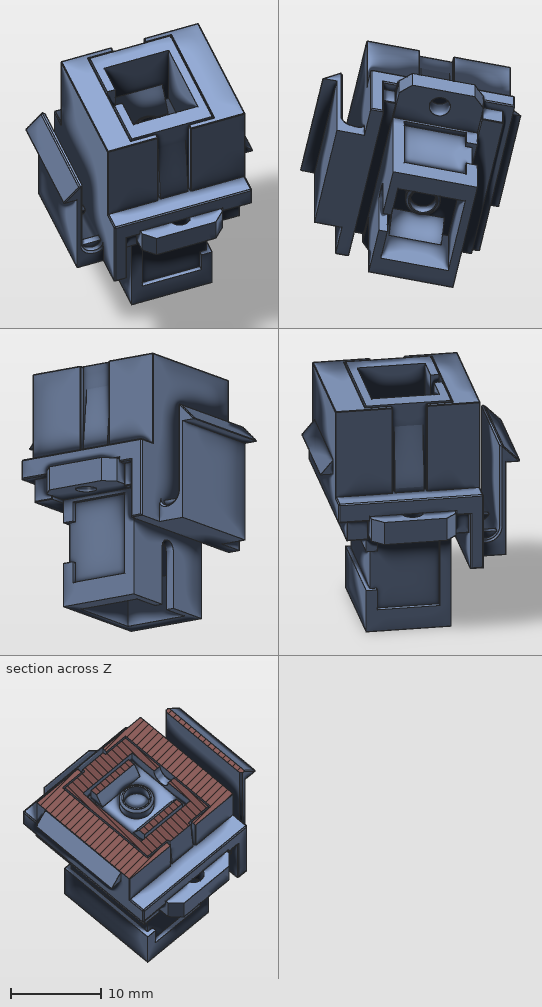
import cadquery as cq
import math

INSERT_X = 13.05
INSERT_Y = 9.55
INSERT_TOP = 27.13
MID_Z = INSERT_TOP / 2

FLANGE_X = 21.98
FLANGE_THICK = 2.65
EAR_CORNER = 1.25
EAR_HOLE_R = 1.17
EAR_HOLE_X = 8.93

PORT_X = 9.05
PORT_Y = 7.65
PORT_DEPTH = 7.87
KEYWAY_W = 2.17
KEYWAY_STRAIGHT = 6.5

SLEEVE_R = 1.93
SLEEVE_BORE_R = 1.47
SLEEVE_CHAMFER = 0.3
SLEEVE_H = 1.4

LATCH_INNER_X = 2.41
LATCH_OUTER_X = 4.23
LATCH_Y = 5.91
LATCH_H = 2.93

RECESS_DEPTH = 0.52
RECESS_Y = 7.03
RECESS_BOTTOM = 2.58
RECESS_TOP = 11.83
NOTCH_DEPTH = 0.5
NOTCH_BOTTOM = 4.96
NOTCH_TOP = 9.63

CATCH_Y = 3.25
CATCH_OUT = 0.68
CATCH_FLAT = 0.5
CATCH_TOP = 24.42

CLEARANCE = 0.14
OPENING_Y = INSERT_Y + 2 * CLEARANCE
HOUSING_TOP = 27.02
BLOCK_X = 14.62
BASE_X = 18.96
FRONT_Y = -7.92
REAR_Y = 8.38
BASE_TOP = 16.77
BASE_BOTTOM = 14.51
BASE_CHAMFER = 0.14
BLOCK_CHAMFER = 0.08

SKIRT_BOTTOM = 7.95
SKIRT_THICK = 1.47
SKIRT_REAR_Y = FRONT_Y + SKIRT_THICK
RAIL_X = 17.1
RAIL_BOTTOM = 11.95
REAR_RAIL_END_Y = 7.3
FLANGE_GAP = 0.2
SIDE_SLOT_Y = 3.85

ARM_X = 12.0
ARM_INNER_Y = -10.4
ARM_OUTER_Y = -11.05
ARM_TOP = 21.0
ARM_EDGE_CHAMFER = 0.22
HOOK_TIP_Y = -12.7
HOOK_CHAMFER = 0.1
HOOK_BOTTOM = 19.05
TROUGH_FLOOR = 9.77
TROUGH_WALL_R = 0.9
RIB_TOP = 10.53
RIB_W = 0.75
RIB_PITCH = 4.83

TAB_X = 11.83
TAB_TIP_Y = 9.82
TAB_BOTTOM = 19.0
TAB_TOP = 20.67


def box(x0, x1, y0, y1, z0, z1):
    """Box between two opposite corners."""
    return cq.Workplane("XY").box(x1 - x0, y1 - y0, z1 - z0, centered=False).translate((x0, y0, z0))


def centred_box(width, depth, z0, z1):
    """Box centred on the Z axis."""
    return box(-width / 2, width / 2, -depth / 2, depth / 2, z0, z1)


def side_profile(width):
    """Workplane for a Y-Z outline that is extruded by `width` from -X to +X."""
    return cq.Workplane("YZ").workplane(offset=-width / 2)


def flange():
    """Mounting plate with two drilled ears."""
    ears = centred_box(FLANGE_X, INSERT_Y, MID_Z - FLANGE_THICK / 2, MID_Z + FLANGE_THICK / 2)
    ears = ears.edges("|Z").chamfer(EAR_CORNER)
    holes = (
        cq.Workplane("XY")
        .pushPoints([(-EAR_HOLE_X, 0), (EAR_HOLE_X, 0)])
        .circle(EAR_HOLE_R)
        .extrude(INSERT_TOP)
    )
    return ears.cut(holes)


def port_cavity():
    """Upper port: rectangular pocket with a keyway through the front wall."""
    pocket = centred_box(PORT_X, PORT_Y, INSERT_TOP - PORT_DEPTH, INSERT_TOP)
    round_z = INSERT_TOP - KEYWAY_STRAIGHT
    keyway = box(-KEYWAY_W / 2, KEYWAY_W / 2, -INSERT_Y / 2, 0, round_z, INSERT_TOP)
    round_end = cq.Workplane("XZ").center(0, round_z).circle(KEYWAY_W / 2).extrude(INSERT_Y / 2)
    return pocket.union(keyway).union(round_end)


def port_fittings():
    """Upper port: ferrule sleeve and two sloped latches standing on the floor."""
    floor_z = INSERT_TOP - PORT_DEPTH
    floor = cq.Workplane("XY").workplane(offset=floor_z)
    sleeve = floor.circle(SLEEVE_R).extrude(SLEEVE_H).faces(">Z").chamfer(SLEEVE_CHAMFER)
    sleeve = sleeve.cut(floor.circle(SLEEVE_BORE_R).extrude(SLEEVE_H))
    latch = (
        cq.Workplane("XZ")
        .workplane(offset=-LATCH_Y / 2)
        .moveTo(LATCH_INNER_X, floor_z)
        .lineTo(LATCH_OUTER_X, floor_z)
        .lineTo(LATCH_OUTER_X, floor_z + LATCH_H)
        .close()
        .extrude(LATCH_Y)
    )
    return sleeve.union(latch).union(latch.mirror("YZ"))


def side_catch():
    """Ramp on the -X side, resting on the housing ledge."""
    wall_x = -INSERT_X / 2
    return (
        cq.Workplane("XZ")
        .workplane(offset=-CATCH_Y / 2)
        .moveTo(wall_x, BASE_TOP)
        .lineTo(wall_x - CATCH_OUT, BASE_TOP)
        .lineTo(wall_x - CATCH_OUT, BASE_TOP + CATCH_FLAT)
        .lineTo(wall_x, CATCH_TOP)
        .close()
        .extrude(CATCH_Y)
    )


def side_recess():
    """Recess in the lower -X side, open to the rear notch."""
    x0 = -INSERT_X / 2
    x1 = x0 + RECESS_DEPTH
    panel = box(x0, x1, -RECESS_Y / 2, RECESS_Y / 2, RECESS_BOTTOM, RECESS_TOP)
    return panel.union(box(x0, x1, 0, INSERT_Y / 2, NOTCH_BOTTOM, NOTCH_TOP))


def build_insert():
    body = centred_box(INSERT_X, INSERT_Y, 0, INSERT_TOP).union(flange())
    cavity = port_cavity()
    fittings = port_fittings()
    mid = (0, 0, MID_Z)
    body = body.cut(cavity).cut(cavity.mirror("XY", mid))
    body = body.union(fittings).union(fittings.mirror("XY", mid))
    catch = side_catch()
    recess = side_recess()
    body = body.union(catch).union(catch.mirror("YZ"))
    body = body.cut(recess).cut(recess.mirror("YZ"))
    rear = INSERT_Y / 2
    return body.cut(box(-INSERT_X / 2, INSERT_X / 2, rear - NOTCH_DEPTH, rear, NOTCH_BOTTOM, NOTCH_TOP))


def base_and_skirt():
    """Wide base plate with the skirt that hangs from its front edge."""
    base = box(-BASE_X / 2, BASE_X / 2, FRONT_Y, REAR_Y, BASE_BOTTOM, BASE_TOP)
    skirt = box(-BASE_X / 2, BASE_X / 2, FRONT_Y, SKIRT_REAR_Y, SKIRT_BOTTOM, BASE_TOP)
    return base.union(skirt).faces("<X or >X or >Z").edges().chamfer(BASE_CHAMFER)


def opening():
    """Space for the insert, over the full height of the housing."""
    return centred_box(INSERT_X + 2 * CLEARANCE, OPENING_Y, 0, HOUSING_TOP)


def block():
    """Upper block with the opening and a slot around each catch, edges broken."""
    body = box(-BLOCK_X / 2, BLOCK_X / 2, FRONT_Y, REAR_Y, BASE_BOTTOM, HOUSING_TOP)
    body = body.cut(opening()).cut(centred_box(BLOCK_X, SIDE_SLOT_Y, BASE_TOP, HOUSING_TOP))
    return body.faces("<X or >X or >Z").edges().chamfer(BLOCK_CHAMFER)


def rail(y0, y1):
    """Bar under the base that runs along the flange."""
    bar = box(-RAIL_X / 2, RAIL_X / 2, y0, y1, RAIL_BOTTOM, BASE_TOP - BASE_CHAMFER)
    return bar.faces("<X or >X").edges().chamfer(BLOCK_CHAMFER)


def flange_gap():
    """Channel across the base for the flange."""
    return centred_box(FLANGE_X, OPENING_Y, 0, MID_Z + FLANGE_THICK / 2 + FLANGE_GAP)


def spring_arm():
    """Trough, upright arm and hook in front of the skirt."""
    arm_r = FRONT_Y - ARM_INNER_Y - TROUGH_WALL_R
    turn_y = FRONT_Y - TROUGH_WALL_R
    diagonal = math.sqrt(0.5)
    wall_mid = (turn_y + TROUGH_WALL_R * diagonal, TROUGH_FLOOR + TROUGH_WALL_R * (1 - diagonal))
    arm_mid = (turn_y - arm_r * diagonal, TROUGH_FLOOR + arm_r * (1 - diagonal))
    hook_top_y = HOOK_TIP_Y + (ARM_TOP - HOOK_BOTTOM)
    arm = (
        side_profile(ARM_X)
        .moveTo(FRONT_Y, SKIRT_BOTTOM)
        .lineTo(FRONT_Y, TROUGH_FLOOR + TROUGH_WALL_R)
        .threePointArc(wall_mid, (turn_y, TROUGH_FLOOR))
        .threePointArc(arm_mid, (ARM_INNER_Y, TROUGH_FLOOR + arm_r))
        .lineTo(ARM_INNER_Y, ARM_TOP)
        .lineTo(hook_top_y, ARM_TOP)
        .lineTo(HOOK_TIP_Y, HOOK_BOTTOM)
        .lineTo(ARM_OUTER_Y, HOOK_BOTTOM)
        .lineTo(ARM_OUTER_Y, SKIRT_BOTTOM)
        .close()
        .extrude(ARM_X)
    )
    hook_mid_y = (hook_top_y + HOOK_TIP_Y) / 2
    hook_mid_z = (ARM_TOP + HOOK_BOTTOM) / 2
    hook_slope = cq.selectors.NearestToPointSelector((0, hook_mid_y, hook_mid_z))
    arm = arm.faces(hook_slope).edges().chamfer(HOOK_CHAMFER)
    edge_mid_z = (TROUGH_FLOOR + arm_r + ARM_TOP) / 2
    left_edge = cq.selectors.NearestToPointSelector((-ARM_X / 2, ARM_INNER_Y, edge_mid_z))
    right_edge = cq.selectors.NearestToPointSelector((ARM_X / 2, ARM_INNER_Y, edge_mid_z))
    arm = arm.edges(left_edge + right_edge).chamfer(ARM_EDGE_CHAMFER)
    for column in (-1, 0, 1):
        x = column * RIB_PITCH
        arm = arm.union(
            box(x - RIB_W / 2, x + RIB_W / 2, ARM_INNER_Y, FRONT_Y, TROUGH_FLOOR, RIB_TOP)
        )
    return arm


def rear_tab():
    """Fixed wedge on the rear face."""
    return (
        side_profile(TAB_X)
        .moveTo(REAR_Y, TAB_BOTTOM)
        .lineTo(TAB_TIP_Y, TAB_BOTTOM)
        .lineTo(REAR_Y, TAB_TOP)
        .close()
        .extrude(TAB_X)
    )


def build_housing():
    shell = base_and_skirt().cut(opening()).union(block())
    shell = shell.union(rail(SKIRT_REAR_Y, -OPENING_Y / 2))
    shell = shell.union(rail(OPENING_Y / 2, REAR_RAIL_END_Y))
    return shell.cut(flange_gap()).union(spring_arm()).union(rear_tab())


insert = build_insert()
housing = build_housing()
result = cq.Compound.makeCompound([housing.solids().val(), insert.solids().val()])